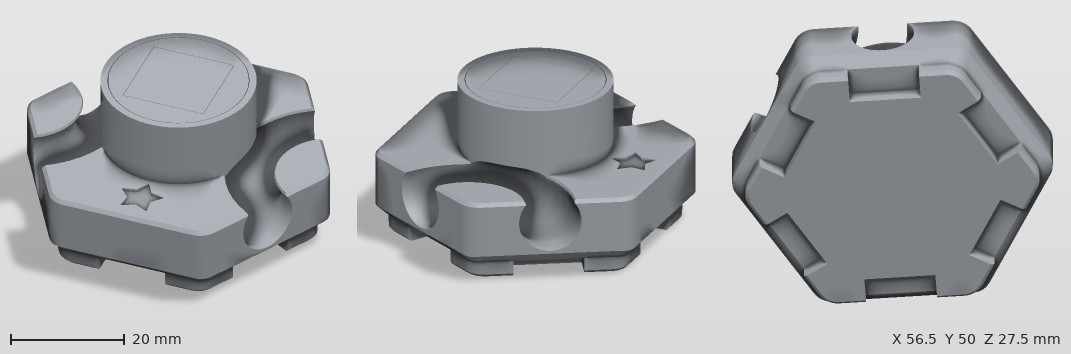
import cadquery as cq
import math

HEX_SIDES = 6
BASE_APOTHEM = 25.0
BASE_TOP = 15.05
CORNER_RADIUS = 4.0
TOP_CHAMFER = 0.6

FOOT_APOTHEM = 23.0
FOOT_HEIGHT = 3.0
FOOT_CHAMFER = 0.6
SLOT_WIDTH = 12.55
SLOT_DEPTH = 4.9

GROOVE_PATH_RADIUS = 14.45
GROOVE_RADIUS = 5.55
GROOVE_CENTRE_Z = 11.1

TOWER_DIAMETER = 27.5
TOWER_TOP = 27.5
RECESS_DIAMETER = 25.0

STAR_POINTS = 5
STAR_CENTRE_Y = -18.75
STAR_OUTER_RADIUS = 4.25
STAR_INNER_RADIUS = 2.3
STAR_DEPTH = 0.6

CAP_DIAMETER = 24.75
WINDOW_SIDE = 15.2
BLOCK_LENGTH = 15.05

VERTEX_RATIO = 1 / math.cos(math.pi / HEX_SIDES)
HEX_VERTEX = BASE_APOTHEM * VERTEX_RATIO
SKIRT_HEIGHT = BASE_APOTHEM - FOOT_APOTHEM
RECESS_FLOOR = BASE_TOP
RECESS_DEPTH = TOWER_TOP - RECESS_FLOOR
BLOCK_WIDTH = BLOCK_LENGTH / 2


def rounded_hexagon(apothem, height):
    """Hexagonal prism standing on Z = 0 with rounded upright edges."""
    prism = cq.Workplane("XY").polygon(HEX_SIDES, 2 * apothem * VERTEX_RATIO).extrude(height)
    return prism.edges("|Z").fillet(CORNER_RADIUS)


def skirt_envelope():
    """Widening hexagonal stump, as tall as the base, with 45 degree sides and rounded ridges."""
    lower_apothem = FOOT_APOTHEM - FOOT_HEIGHT
    upper_apothem = lower_apothem + BASE_TOP
    stump = (
        cq.Workplane("XY")
        .polygon(HEX_SIDES, 2 * lower_apothem * VERTEX_RATIO)
        .workplane(offset=BASE_TOP)
        .polygon(HEX_SIDES, 2 * upper_apothem * VERTEX_RATIO)
        .loft(ruled=True)
    )
    return stump.edges("not #Z").fillet(CORNER_RADIUS)


def feet():
    """Chamfered hexagon that reaches up into the sloped skirt, before the slots are cut."""
    hexagon = rounded_hexagon(FOOT_APOTHEM, FOOT_HEIGHT + SKIRT_HEIGHT / 2)
    return hexagon.faces("<Z").chamfer(FOOT_CHAMFER)


def foot_slots():
    """Six square-ended slots, one in the middle of each side of the feet."""
    slot = (
        cq.Workplane("XY")
        .box(2 * SLOT_DEPTH, SLOT_WIDTH, FOOT_HEIGHT, centered=(True, True, False))
        .translate((FOOT_APOTHEM, 0, 0))
    )
    slots = cq.Workplane("XY")
    for i in range(HEX_SIDES):
        angle = (i + 0.5) * 360 / HEX_SIDES
        slots = slots.add(slot.rotate((0, 0, 0), (0, 0, 1), angle))
    return slots.combine()


def grooves():
    """Two rings, each turned about the upright line through a hexagon corner."""
    rings = cq.Workplane("XY")
    for side in (-1, 1):
        profile_plane = cq.Plane(
            origin=(side * (HEX_VERTEX + GROOVE_PATH_RADIUS), 0, GROOVE_CENTRE_Z),
            xDir=(0, 0, 1),
            normal=(0, -1, 0),
        )
        profile = cq.Workplane(profile_plane).circle(GROOVE_RADIUS)
        axis_offset = side * GROOVE_PATH_RADIUS
        rings = rings.add(profile.revolve(360, (0, axis_offset), (1, axis_offset)))
    return rings.combine()


def star():
    """Star-shaped cutter, one point toward +Y."""
    points = []
    for i in range(2 * STAR_POINTS):
        radius = STAR_INNER_RADIUS if i % 2 else STAR_OUTER_RADIUS
        angle = math.pi / 2 + i * math.pi / STAR_POINTS
        points.append((radius * math.cos(angle), STAR_CENTRE_Y + radius * math.sin(angle)))
    return cq.Workplane("XY").workplane(offset=BASE_TOP).polyline(points).close().extrude(-STAR_DEPTH)


def make_base():
    """Hexagonal base on its feet, with the groove and rim edges of its top chamfered."""
    base = rounded_hexagon(BASE_APOTHEM, BASE_TOP).intersect(skirt_envelope())
    base = base.union(feet()).cut(foot_slots()).cut(grooves())
    return base.faces(">Z").chamfer(TOP_CHAMFER)


def make_tower():
    """Round tower, rooted inside the base so that it joins the base without gaps."""
    tower = cq.Workplane("XY").workplane(offset=FOOT_HEIGHT).circle(TOWER_DIAMETER / 2)
    return tower.extrude(TOWER_TOP - FOOT_HEIGHT).cut(grooves())


def make_housing():
    recess = cq.Workplane("XY").workplane(offset=RECESS_FLOOR).circle(RECESS_DIAMETER / 2)
    return make_base().union(make_tower()).cut(recess.extrude(RECESS_DEPTH)).cut(star())


def make_cap():
    """Round cap standing on the recess floor, cut by the same grooves as the housing."""
    outline = cq.Workplane("XY").workplane(offset=RECESS_FLOOR).circle(CAP_DIAMETER / 2)
    return outline.rect(WINDOW_SIDE, WINDOW_SIDE).extrude(RECESS_DEPTH).cut(grooves())


def make_block(side):
    """Block filling the -X (side = -1) or +X (side = 1) half of the window."""
    block = cq.Workplane("XY").workplane(offset=RECESS_FLOOR).center(side * BLOCK_WIDTH / 2, 0)
    return block.rect(BLOCK_WIDTH, BLOCK_LENGTH).extrude(RECESS_DEPTH)


housing = make_housing()
cap = make_cap()
blocks = [make_block(side) for side in (-1, 1)]

result = cq.Compound.makeCompound([housing.val(), cap.val(), *(block.val() for block in blocks)])